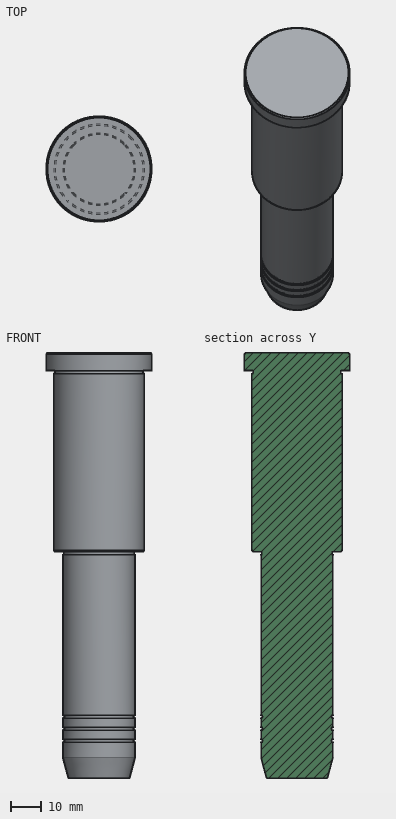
import cadquery as cq
import math

head_diameter = 35.0
head_height = 6.0
body_diameter = 30.0
body_length = 60.0
shank_diameter = 24.0
shank_length = 75.0

head_chamfer = 0.5
body_chamfer = 0.5
tip_fillet = 0.5

neck_depth = 0.25
neck_width = 1.0

taper_length = 7.0
taper_angle = 15.0

groove_radius = 0.5
groove_count = 3
groove_pitch = 4.0
first_groove_height = 12.5

body_bottom = shank_length
shank_top = body_bottom - neck_width
head_bottom = body_bottom + body_length
total_length = head_bottom + head_height
head_radius = head_diameter / 2
body_radius = body_diameter / 2
shank_radius = shank_diameter / 2
neck_radius = shank_radius - neck_depth
tip_radius = shank_radius - taper_length * math.tan(math.radians(taper_angle))


def make_tip():
    """Tapered lead-in with a rounded end."""
    outline = [(0, 0), (tip_radius, 0), (shank_radius, taper_length), (0, taper_length)]
    tip = cq.Workplane("XZ").polyline(outline).close().revolve(360, (0, 0), (0, 1))
    return tip.faces("<Z").edges().fillet(tip_fillet)


def make_cylinder(radius, bottom, top):
    return cq.Workplane("XY").workplane(offset=bottom).circle(radius).extrude(top - bottom)


def make_body():
    body = make_cylinder(body_radius, body_bottom, head_bottom)
    return body.faces("<Z").edges().chamfer(body_chamfer)


def make_head():
    head = make_cylinder(head_radius, head_bottom, total_length)
    return head.faces(">Z").edges().chamfer(head_chamfer)


def cut_ring_groove(part, surface_radius, center_height):
    """Cut a half-round groove into a cylindrical surface, centred at the given height."""
    ring = cq.Solid.makeTorus(surface_radius, groove_radius, cq.Vector(0, 0, center_height))
    return part.cut(cq.Workplane(ring))


def make_shank():
    shank = make_cylinder(shank_radius, taper_length, shank_top)
    for index in range(groove_count):
        shank = cut_ring_groove(shank, shank_radius, first_groove_height + index * groove_pitch)
    return shank


tip = make_tip()
shank = make_shank()
neck = make_cylinder(neck_radius, shank_top, body_bottom)
body = cut_ring_groove(make_body(), body_radius, head_bottom - groove_radius)
head = make_head()

result = tip.union(shank).union(neck).union(body).union(head)